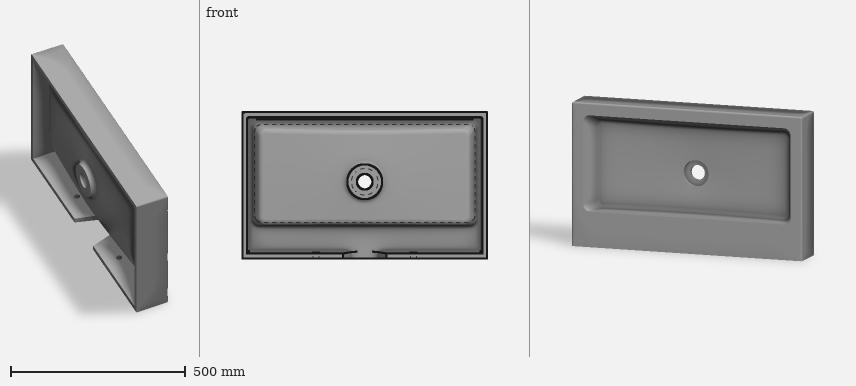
import cadquery as cq
import math


WIDTH = 700.0
HEIGHT = 420.0
DEPTH = 101.0
CORNER_RADIUS_UNDER = 4.0
CORNER_RADIUS_RIM = 6.0
RIM_ROUND = 5.0

DECK_Y = 92.0
SIDE_WALL = 13.0
END_WALL = 15.0
HOLLOW_TAPER = 4.0
HOLLOW_CORNER_RADIUS = 8.0
DECK_FILLET = 3.0

BOWL_HALF_WIDTH = 324.5
BOWL_BOTTOM = 92.3
BOWL_TOP = 393.2
BOWL_CORNER_RADIUS = 20.0
WALL_DRAFT = 22.0
BOTTOM_DRAFT = 4.0
BOWL_FLOOR_FILLET = 15.0
BOWL_ROOT_FILLET = 8.0

DRAIN_Z = 220.0
FLOOR_APEX_Y = 8.5
FLOOR_SLOPE = 0.0708
FLOOR_REACH = 450.0
BOWL_THICKNESS = 12.0
INNER_FLOOR_FILLET = 10.0

BOSS_RADIUS = 50.0
BOSS_FLARE = 14.0
BOSS_PROJECTION = 2.0
DRAIN_RADIUS = 22.0
DRAIN_SEAT_Y = BOWL_THICKNESS - BOSS_PROJECTION
DRAIN_SEAT_RADIUS = BOSS_RADIUS - BOWL_THICKNESS

SKIRT_CUT_HEIGHT = 2 * END_WALL

NOTCH_MOUTH_HALF = 62.0
NOTCH_DECK_HALF = 35.1
NOTCH_FILLET = 20.0

MOUNT_X = 140.0
MOUNT_Y = 45.0
MOUNT_DIAMETER = 17.0


def outline(y, half_width, z_low, z_high, low_radius, high_radius):
    """Rectangle with rounded corners in the plane at depth y."""
    sketch = (
        cq.Sketch()
        .push([(0, (z_low + z_high) / 2)])
        .rect(2 * half_width, z_high - z_low)
        .reset()
    )
    if high_radius > 0:
        sketch = sketch.vertices(">Y").fillet(high_radius).reset()
    if low_radius > 0:
        sketch = sketch.vertices("<Y").fillet(low_radius)
    return sketch.moved(cq.Location(cq.Vector(0, 0, -y)))


def loft(first, second):
    """Ruled solid between two outlines, drawn with local x along X and y along Z."""
    return cq.Workplane("XZ").placeSketch(first, second).loft(ruled=True)


def make_block():
    """Outer block, with its rim rounded on every side but the wall side."""
    half = WIDTH / 2
    block = loft(
        outline(0, half, 0, HEIGHT, 0, CORNER_RADIUS_UNDER),
        outline(DEPTH, half, 0, HEIGHT, 0, CORNER_RADIUS_RIM),
    )
    return block.faces(">Y").edges("not <Z").fillet(RIM_ROUND)


def make_hollow():
    """Space inside the skirt, narrowing towards the deck."""
    half = WIDTH / 2 - SIDE_WALL
    inset = HOLLOW_TAPER
    return loft(
        outline(0, half, END_WALL, HEIGHT - END_WALL, 0, HOLLOW_CORNER_RADIUS),
        outline(DECK_Y, half - inset, END_WALL + inset, HEIGHT - END_WALL - inset,
                0, HOLLOW_CORNER_RADIUS - inset),
    )


def bowl_section(y, inset):
    """Section of the bowl at depth y, with its walls moved in by a thickness."""
    rise = DECK_Y - y
    draft = math.radians(WALL_DRAFT)
    bottom_draft = math.radians(BOTTOM_DRAFT)
    shrink = rise * math.tan(draft) + inset / math.cos(draft)
    bottom_shrink = rise * math.tan(bottom_draft) + inset / math.cos(bottom_draft)
    return outline(y, BOWL_HALF_WIDTH - shrink, BOWL_BOTTOM + bottom_shrink, BOWL_TOP - shrink,
                   BOWL_CORNER_RADIUS, BOWL_CORNER_RADIUS)


def floor_cone(apex_y):
    """Space on the rim side of the conical floor."""
    edge_y = apex_y + FLOOR_REACH * FLOOR_SLOPE
    back_y = 2 * DEPTH
    return (
        cq.Workplane("XY")
        .polyline([(0, apex_y), (FLOOR_REACH, edge_y), (FLOOR_REACH, back_y), (0, back_y)])
        .close()
        .revolve(360, (0, 0), (0, 1))
        .translate((0, 0, DRAIN_Z))
    )


def make_bowl(inset, back_y, floor_fillet):
    """Solid bowl shape with a conical floor and a rounded floor edge."""
    walls = loft(bowl_section(0, inset), bowl_section(back_y, inset))
    bowl = walls.intersect(floor_cone(FLOOR_APEX_Y + inset))
    floor = bowl.faces(cq.selectors.TypeSelector("CONE"))
    return floor.edges("not %LINE").fillet(floor_fillet)


def deck_face(body):
    """Underside face of the flat deck that surrounds the bowl."""
    point = (0, DECK_Y, (END_WALL + BOWL_BOTTOM) / 2)
    return body.faces(cq.selectors.NearestToPointSelector(point)).val()


def make_underside():
    """Block hollowed from below around the bowl, with rounded deck edges."""
    body = make_block().cut(make_hollow().cut(make_bowl(0, DECK_Y, BOWL_FLOOR_FILLET)))
    body = body.newObject(deck_face(body).innerWires()[0].Edges()).fillet(BOWL_ROOT_FILLET)
    return body.newObject(deck_face(body).outerWire().Edges()).fillet(DECK_FILLET)


def drain_disc(y_from, y_to, radius):
    """Cylinder along Y on the drain axis."""
    plane = cq.Plane(origin=(0, y_from, DRAIN_Z), xDir=(1, 0, 0), normal=(0, 1, 0))
    return cq.Workplane(plane).circle(radius).extrude(y_to - y_from)


def make_boss():
    """Drain boss with a concave flare running into the conical floor."""
    flare_radius = BOSS_RADIUS + BOSS_FLARE
    flare_y = FLOOR_APEX_Y + flare_radius * FLOOR_SLOPE
    flare_start_y = flare_y - BOSS_FLARE
    turn = math.sqrt(0.5)
    arc_middle = (flare_radius - BOSS_FLARE * turn, flare_start_y + BOSS_FLARE * turn)
    back_y = flare_y + BOWL_THICKNESS / 2
    return (
        cq.Workplane("XY")
        .moveTo(0, -BOSS_PROJECTION)
        .lineTo(BOSS_RADIUS, -BOSS_PROJECTION)
        .lineTo(BOSS_RADIUS, flare_start_y)
        .threePointArc(arc_middle, (flare_radius, flare_y))
        .lineTo(flare_radius, back_y)
        .lineTo(0, back_y)
        .close()
        .revolve(360, (0, 0), (0, 1))
        .translate((0, 0, DRAIN_Z))
    )


def make_notch():
    """Tapering opening through the wall-side skirt, rounded where it meets the deck."""
    notch = (
        cq.Workplane("XY")
        .polyline([
            (-NOTCH_MOUTH_HALF, 0),
            (NOTCH_MOUTH_HALF, 0),
            (NOTCH_DECK_HALF, DECK_Y),
            (-NOTCH_DECK_HALF, DECK_Y),
        ])
        .close()
        .extrude(SKIRT_CUT_HEIGHT)
    )
    return notch.edges("|Z and >Y").fillet(NOTCH_FILLET)


def make_mount_holes():
    """Fixing holes through the wall-side skirt."""
    return (
        cq.Workplane("XY")
        .pushPoints([(-MOUNT_X, MOUNT_Y), (MOUNT_X, MOUNT_Y)])
        .circle(MOUNT_DIAMETER / 2)
        .extrude(SKIRT_CUT_HEIGHT)
    )


result = (
    make_underside()
    .union(make_boss())
    .cut(make_bowl(BOWL_THICKNESS, DEPTH, INNER_FLOOR_FILLET))
    .cut(drain_disc(DRAIN_SEAT_Y, DEPTH, DRAIN_SEAT_RADIUS))
    .cut(drain_disc(-BOSS_PROJECTION, DEPTH, DRAIN_RADIUS))
    .cut(make_notch())
    .cut(make_mount_holes())
)